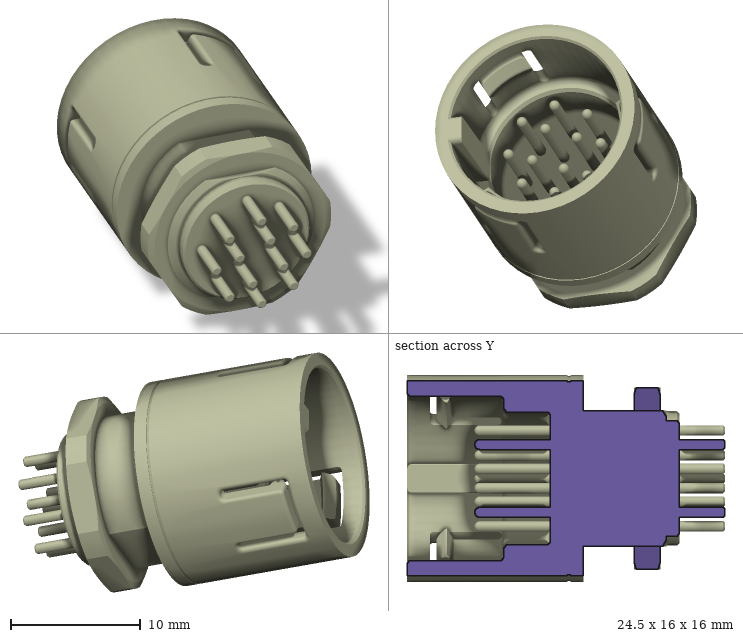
import cadquery as cq
import math

TOTAL_LENGTH = 24.5
BARREL_DIAMETER = 16.0
BARREL_RADIUS = BARREL_DIAMETER / 2
BARREL_LENGTH = 13.6
GROOVE_START = 12.37
GROOVE_WIDTH = 0.22
GROOVE_DEPTH = 0.07

BORE_RADIUS = 6.85
BORE_DEPTH = 7.42
BORE_END_FILLET = 0.27
MOUTH_CHAMFER = 0.17
WELL_RADIUS = 11.5 / 2
WELL_CHAMFER = 0.25
WELL_FLOOR_RADIUS = 10.93 / 2
WELL_FLOOR_FILLET = WELL_RADIUS - WELL_FLOOR_RADIUS
WELL_FLOOR = 11.02

LATCH_COUNT = 3
LATCH_HALF_WIDTH = 1.98
LATCH_TIP = 2.25
LATCH_CORNER_RADIUS = 0.32
SLOT_WIDTH = 0.69
SLOT_END_RADIUS = 0.34
SLOT_TIP = 1.75
SLOT_END = 7.33
SLOT_HALF_WIDTH = LATCH_HALF_WIDTH + SLOT_WIDTH
SLOT_FLOOR_RADIUS = BORE_RADIUS - BORE_END_FILLET
SLOT_CORNER_RADIUS = 0.32
SLOT_EDGE_FILLET = 0.3

HOOK_ROOT_RADIUS = 6.7
HOOK_APEX_RADIUS = 5.95
HOOK_RAMP_END = 2.9
HOOK_RAMP_END_RADIUS = 6.03
HOOK_APEX_END = 3.09
HOOK_END = 3.55
HOOK_OVERLAP = 0.25

KEY_HALF_WIDTH = 1.13
KEY_FRONT_Y = 5.88
KEY_BACK_Y = 5.73
KEY_ROOT_Y = BORE_RADIUS + 0.5
KEY_FRONT_FILLET = 0.42
KEY_EDGE_FILLET = 0.1

NECK_DIAMETER = 11.95
NECK_RADIUS = NECK_DIAMETER / 2
NECK_FLAT_DISTANCE = 10.49
NECK_END = 20.0
NECK_CHAMFER_LENGTH = 0.35
NECK_END_RADIUS = 10.93 / 2
INSERT_DIAMETER = 10.4
INSERT_END = 21.0
INSERT_CHAMFER = 0.17

PIN_DIAMETER = 0.8
PIN_TIP = 5.2
PIN_END_CHAMFER = 0.12
OUTER_PIN_COUNT = 8
OUTER_PIN_RADIUS = 3.7
INNER_PIN_COUNT = 4
INNER_PIN_RADIUS = 1.94
INNER_PIN_START_ANGLE = 67.5

NUT_START = 17.5
NUT_THICKNESS = 2.03
NUT_ACROSS_FLATS = 14.05
NUT_CORNER_RADIUS = 7.52
NUT_TURN = 30.0
NUT_CHAMFER_LENGTH = 0.17
NUT_CHAMFER_DEPTH = NUT_CORNER_RADIUS - NUT_ACROSS_FLATS / 2


def cylinder(radius, start, end):
    """Solid cylinder about the X axis from X = start to X = end."""
    return cq.Workplane("YZ").workplane(offset=start).circle(radius).extrude(end - start)


def turned(profile):
    """Solid of revolution about the X axis from a closed outline of (x, radius)."""
    return profile.close().revolve(360, (0, 0, 0), (1, 0, 0))


def slab(start, end, half_width):
    """Box on the -Y side, wider than the barrel wall, of the given half width in Z."""
    return cq.Workplane("XY").box(end - start, BARREL_DIAMETER, 2 * half_width).translate(
        ((start + end) / 2, -BARREL_DIAMETER / 2, 0)
    )


def at_latches(body):
    """Copies of a body drawn on the -Y side, one at each latch."""
    return [
        body.rotate((0, 0, 0), (1, 0, 0), index * 360 / LATCH_COUNT)
        for index in range(LATCH_COUNT)
    ]


def make_tongue():
    """Plan shape of a latch, with rounded tip corners, through the whole wall on the -Y side."""
    tongue = slab(LATCH_TIP, SLOT_END, LATCH_HALF_WIDTH)
    return tongue.edges("|Y and <X").fillet(LATCH_CORNER_RADIUS)


def make_slot():
    """U-shaped slot around one latch, reaching out from the slot floor."""
    outline = slab(SLOT_TIP, SLOT_END, SLOT_HALF_WIDTH)
    outline = outline.edges("|Y and <X").fillet(SLOT_CORNER_RADIUS)
    slot = outline.cut(make_tongue())
    slot = slot.edges("|Y and >X").fillet(SLOT_END_RADIUS)
    return slot.cut(cylinder(SLOT_FLOOR_RADIUS, 0, BARREL_LENGTH))


def make_barrel():
    """Solid barrel with the latch slots, their rounded rims and a fine groove."""
    barrel = cylinder(BARREL_RADIUS, 0, BARREL_LENGTH)
    slot = make_slot()
    for placed_slot in at_latches(slot):
        barrel = barrel.cut(placed_slot)
    outer_face = max(barrel.faces().vals(), key=lambda face: face.Area())
    slot_rims = [edge for wire in outer_face.innerWires() for edge in wire.Edges()]
    barrel = barrel.newObject(slot_rims).fillet(SLOT_EDGE_FILLET)
    groove_end = GROOVE_START + GROOVE_WIDTH
    groove = cylinder(BARREL_DIAMETER, GROOVE_START, groove_end).cut(
        cylinder(BARREL_RADIUS - GROOVE_DEPTH, GROOVE_START, groove_end)
    )
    return barrel.cut(groove)


def make_cavity():
    """Stepped cavity: chamfered mouth, bore with a rounded end, and the deeper well."""
    bore = cylinder(BORE_RADIUS, 0, BORE_DEPTH).faces(">X").edges().fillet(BORE_END_FILLET)
    mouth = turned(
        cq.Workplane("XY")
        .lineTo(0, BORE_RADIUS + MOUTH_CHAMFER)
        .lineTo(MOUTH_CHAMFER, BORE_RADIUS)
        .lineTo(MOUTH_CHAMFER, 0)
    )
    well = cylinder(WELL_RADIUS, 0, WELL_FLOOR).faces(">X").edges().fillet(WELL_FLOOR_FILLET)
    well_entry = turned(
        cq.Workplane("XY")
        .moveTo(BORE_DEPTH, 0)
        .lineTo(BORE_DEPTH, WELL_RADIUS + WELL_CHAMFER)
        .lineTo(BORE_DEPTH + WELL_CHAMFER, WELL_RADIUS)
        .lineTo(BORE_DEPTH + WELL_CHAMFER, 0)
    )
    return bore.union(mouth).union(well).union(well_entry)


def make_hook():
    """Catch inside a latch tip: a ramp, a narrow apex and a steeper back."""
    ring = turned(
        cq.Workplane("XY")
        .moveTo(LATCH_TIP, BORE_RADIUS + HOOK_OVERLAP)
        .lineTo(LATCH_TIP, HOOK_ROOT_RADIUS)
        .lineTo(HOOK_RAMP_END, HOOK_RAMP_END_RADIUS)
        .tangentArcPoint((HOOK_APEX_END, HOOK_APEX_RADIUS), relative=False)
        .lineTo(HOOK_END, BORE_RADIUS)
        .lineTo(HOOK_END, BORE_RADIUS + HOOK_OVERLAP)
    )
    return ring.intersect(make_tongue())


def make_key():
    """Bar along the bore with rounded front edges and a slightly sloping inner face."""
    bar = (
        cq.Workplane("XY")
        .moveTo(0, KEY_ROOT_Y)
        .lineTo(0, KEY_FRONT_Y)
        .lineTo(BORE_DEPTH, KEY_BACK_Y)
        .lineTo(BORE_DEPTH, KEY_ROOT_Y)
        .close()
        .extrude(KEY_HALF_WIDTH, both=True)
    )
    bar = bar.faces("<Y").edges(">Z or <Z").fillet(KEY_EDGE_FILLET)
    rounded_front = (
        cq.Workplane("XZ")
        .rect(2 * BORE_DEPTH, 2 * KEY_HALF_WIDTH)
        .extrude(-KEY_ROOT_Y)
        .translate((BORE_DEPTH, 0, 0))
        .edges("|Y and <X")
        .fillet(KEY_FRONT_FILLET)
    )
    return bar.intersect(rounded_front)


def neck_flats():
    """Long slab between the two flats of the neck, which face +Z and -Z."""
    return cq.Workplane("XY").box(2 * TOTAL_LENGTH, NECK_DIAMETER, NECK_FLAT_DISTANCE)


def make_neck():
    """Threaded neck with its end chamfer and two flats."""
    neck = turned(
        cq.Workplane("XY")
        .moveTo(BARREL_LENGTH, 0)
        .lineTo(BARREL_LENGTH, NECK_RADIUS)
        .lineTo(NECK_END - NECK_CHAMFER_LENGTH, NECK_RADIUS)
        .lineTo(NECK_END, NECK_END_RADIUS)
        .lineTo(NECK_END, 0)
    )
    return neck.intersect(neck_flats())


def make_insert():
    """Round insert end standing out behind the neck."""
    insert = cylinder(INSERT_DIAMETER / 2, NECK_END, INSERT_END)
    return insert.faces(">X").edges().chamfer(INSERT_CHAMFER)


def make_pin():
    """Contact pin on the X axis with a domed front and a chamfered rear end."""
    radius = PIN_DIAMETER / 2
    return turned(
        cq.Workplane("XY")
        .moveTo(PIN_TIP, 0)
        .radiusArc((PIN_TIP + radius, radius), radius)
        .lineTo(TOTAL_LENGTH - PIN_END_CHAMFER, radius)
        .lineTo(TOTAL_LENGTH, radius - PIN_END_CHAMFER)
        .lineTo(TOTAL_LENGTH, 0)
    )


def pin_ring(count, ring_radius, start_angle):
    """Pins evenly spaced on a circle, the first at start_angle from +Y towards +Z."""
    pins = []
    for index in range(count):
        angle = math.radians(start_angle + index * 360 / count)
        offset = (0, ring_radius * math.cos(angle), ring_radius * math.sin(angle))
        pins.append(make_pin().translate(offset))
    return pins


def make_connector():
    """Connector shell with latches, key, neck, insert and contact pins, as one solid."""
    connector = make_barrel().cut(make_cavity())
    for hook in at_latches(make_hook()):
        connector = connector.union(hook)
    connector = connector.union(make_key()).union(make_neck()).union(make_insert())
    pins = pin_ring(OUTER_PIN_COUNT, OUTER_PIN_RADIUS, 0)
    pins += pin_ring(INNER_PIN_COUNT, INNER_PIN_RADIUS, INNER_PIN_START_ANGLE)
    for pin in pins:
        connector = connector.union(pin)
    return connector


def make_nut():
    """Hexagon nut with truncated corners and chamfered faces; its bore fits the flatted neck."""
    nut_end = NUT_START + NUT_THICKNESS
    blank = cylinder(NUT_CORNER_RADIUS, NUT_START, nut_end)
    blank = blank.faces("<X or >X").edges().chamfer(NUT_CHAMFER_LENGTH, NUT_CHAMFER_DEPTH)
    hexagon = (
        cq.Workplane("YZ")
        .workplane(offset=NUT_START)
        .polygon(6, NUT_ACROSS_FLATS, circumscribed=True)
        .extrude(NUT_THICKNESS)
        .rotate((0, 0, 0), (1, 0, 0), NUT_TURN)
    )
    bore = cylinder(NECK_RADIUS, NUT_START, nut_end).intersect(neck_flats())
    return blank.intersect(hexagon).cut(bore)


connector = make_connector()
nut = make_nut()

result = cq.Compound.makeCompound([connector.val(), nut.val()])